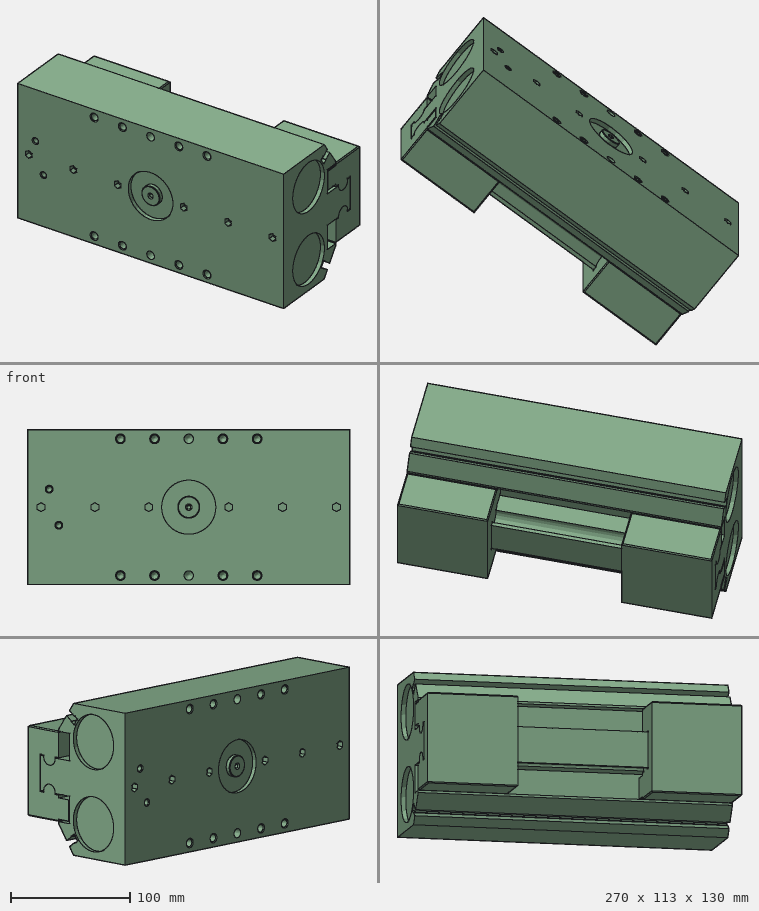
import cadquery as cq
import math


length = 270.0
height = 130.0
total_depth = 113.0
shoulder_y = 60.2
bed_y = 77.5
slope_angle = 54.7

slot_offset = 8.5
slot_mouth_width = 5.7
slot_head_width = 6.8
slot_lip = 7.0
slot_depth = 11.0

channel_half_width = 38.5
channel_floor_y = 65.0
rail_half_width = 15.0
rail_top_y = 98.5
rod_radius = 6.8
rod_y = 88.3
rod_z = 14.8

bore_diameter = 47.0
bore_depth = 4.0
bore_y = 37.0
bore_z = 35.0

mount_hole_diameter = 6.5
mount_mouth_diameter = 8.0
centre_hole_diameter = 7.8
mount_hole_pitch = 28.5
mount_columns_per_side = 2
mount_hole_z = 57.2
mount_hole_depth = 16.2
port_diameter = 4.9
port_mouth_diameter = 6.5
port_depth = 13.5
port_places = [(-117.0, 15.0), (-108.8, -15.0)]
drill_point_angle = 118.0

screw_first_x = 33.5
screw_pitch = 45.0
screws_per_side = 3
socket_flats = 6.5
socket_depth = 5.5

recess_diameter = 45.4
recess_depth = 4.0
boss_diameter = 18.4
boss_chamfer = 0.5
boss_hole_diameter = 3.2
boss_mouth_diameter = 5.5
boss_hole_depth = 8.0

jaw_length = 77.5
jaw_half_height = channel_half_width
jaw_chamfer = 1.0
jaw_clearance = 0.8
leg_outer_z = 37.0
leg_inner_z = 18.4
leg_chamfer = 0.5


def block(x_range, y_range, z_range):
    """Box given by its limits along each axis."""
    (x0, x1), (y0, y1), (z0, z1) = x_range, y_range, z_range
    return cq.Workplane("XY").box(x1 - x0, y1 - y0, z1 - z0, centered=False).translate((x0, y0, z0))


def front_disc(x, z, diameter, depth):
    """Cylinder going into the mounting face."""
    return cq.Workplane("XZ", origin=(x, 0, z)).circle(diameter / 2).extrude(-depth)


def drilled_hole(x, z, diameter, depth, mouth_diameter):
    """Blind hole in the mounting face with a 45-degree mouth and a drill point."""
    radius = diameter / 2
    mouth_radius = mouth_diameter / 2
    mouth_depth = mouth_radius - radius
    tip_depth = depth + radius / math.tan(math.radians(drill_point_angle / 2))
    outline = cq.Workplane("XY").moveTo(0, 0).lineTo(mouth_radius, 0)
    if mouth_depth > 0:
        outline = outline.lineTo(radius, mouth_depth)
    outline = outline.lineTo(radius, depth).lineTo(0, tip_depth).close()
    return outline.revolve(360, (0, 0, 0), (0, 1, 0)).translate((x, 0, z))


def rods(x_start, rod_length):
    """Two round bars along the sides of the rail: the jaw's guide rods or the rail's grooves for them."""
    return (
        cq.Workplane("YZ", origin=(x_start, 0, 0))
        .pushPoints([(rod_y, rod_z), (rod_y, -rod_z)])
        .circle(rod_radius)
        .extrude(rod_length)
    )


def housing_block():
    slope_run = bed_y - shoulder_y
    bed_half_width = height / 2 - slope_run * math.tan(math.radians(slope_angle))
    outline = [
        (0, -height / 2),
        (shoulder_y, -height / 2),
        (bed_y, -bed_half_width),
        (bed_y, bed_half_width),
        (shoulder_y, height / 2),
        (0, height / 2),
    ]
    return cq.Workplane("YZ", origin=(-length / 2, 0, 0)).polyline(outline).close().extrude(length)


def slope_slot(side):
    """T-slot square to the sloped side; side is +1 for the upper slope and -1 for the lower."""
    along = slot_offset + slot_mouth_width / 2
    angle = math.radians(slope_angle)
    mouth_y = shoulder_y + along * math.cos(angle)
    mouth_z = side * (height / 2 - along * math.sin(angle))
    half_length = length / 2
    mouth = block(
        (-half_length, half_length),
        (-slot_mouth_width / 2, slot_mouth_width / 2),
        (-slot_depth, slot_depth),
    )
    head = block(
        (-half_length, half_length),
        (-slot_head_width / 2, slot_head_width / 2),
        (-slot_depth, -slot_lip),
    )
    slot = mouth.union(head)
    if side < 0:
        slot = slot.rotate((0, 0, 0), (1, 0, 0), 180)
    return slot.rotate((0, 0, 0), (1, 0, 0), -side * slope_angle).translate((0, mouth_y, mouth_z))


def guide_rail():
    rail = block(
        (-length / 2, length / 2),
        (channel_floor_y, rail_top_y),
        (-rail_half_width, rail_half_width),
    )
    return rail.cut(rods(-length / 2, length))


def cylinder_bores():
    """Shallow round recesses over the cylinders, two in each end face."""
    ends = cq.Workplane("XY")
    for x_start in (-length / 2, length / 2 - bore_depth):
        ends = ends.add(
            cq.Workplane("YZ", origin=(x_start, 0, 0))
            .pushPoints([(bore_y, bore_z), (bore_y, -bore_z)])
            .circle(bore_diameter / 2)
            .extrude(bore_depth)
        )
    return ends.combine()


def cut_mounting_holes(body):
    """Two rows of chamfered holes, with plain locating holes in the centre column, and two ports."""
    for column in range(-mount_columns_per_side, mount_columns_per_side + 1):
        if column == 0:
            diameter, mouth = centre_hole_diameter, centre_hole_diameter
        else:
            diameter, mouth = mount_hole_diameter, mount_mouth_diameter
        for z in (-mount_hole_z, mount_hole_z):
            body = body.cut(drilled_hole(column * mount_hole_pitch, z, diameter, mount_hole_depth, mouth))
    for x, z in port_places:
        body = body.cut(drilled_hole(x, z, port_diameter, port_depth, port_mouth_diameter))
    return body


def screw_sockets():
    """Hexagonal sockets along the middle of the mounting face, each with a corner up."""
    offsets = [screw_first_x + i * screw_pitch for i in range(screws_per_side)]
    places = [side * x for side in (-1, 1) for x in offsets]
    across_corners = socket_flats / math.cos(math.pi / 6)
    return (
        cq.Workplane("XZ")
        .transformed(rotate=(0, 0, 90))
        .pushPoints([(0, x) for x in places])
        .polygon(6, across_corners)
        .extrude(-socket_depth)
    )


def centre_recess():
    """Ring-shaped recess around a boss that is flush with the mounting face."""
    boss = front_disc(0, 0, boss_diameter, recess_depth).faces("<Y").chamfer(boss_chamfer)
    return front_disc(0, 0, recess_diameter, recess_depth).cut(boss)


def build_housing():
    body = housing_block()
    for side in (-1, 1):
        body = body.cut(slope_slot(side))
    channel = block(
        (-length / 2, length / 2),
        (channel_floor_y, bed_y),
        (-channel_half_width, channel_half_width),
    )
    body = body.cut(channel).union(guide_rail())
    body = body.cut(cylinder_bores())
    body = cut_mounting_holes(body)
    body = body.cut(screw_sockets()).cut(centre_recess())
    return body.cut(drilled_hole(0, 0, boss_hole_diameter, boss_hole_depth, boss_mouth_diameter))


def build_jaw():
    """Jaw at the -X end, with its leg below the rail."""
    x_range = (-length / 2, -length / 2 + jaw_length)
    jaw = block(x_range, (bed_y, total_depth), (-jaw_half_height, jaw_half_height))
    jaw = jaw.faces("<Z or >Z").chamfer(jaw_chamfer)
    leg = block(x_range, (channel_floor_y + jaw_clearance, bed_y), (-leg_outer_z, -leg_inner_z))
    leg = leg.faces("<Z").edges("|Y").chamfer(leg_chamfer)
    rail_slot_half = rail_half_width + jaw_clearance
    rail_slot = block(x_range, (bed_y, rail_top_y + jaw_clearance), (-rail_slot_half, rail_slot_half))
    return jaw.union(leg).cut(rail_slot).union(rods(x_range[0], jaw_length))


housing = build_housing()
first_jaw = build_jaw()

jaws = [first_jaw.rotate((0, 0, 0), (0, 1, 0), turn).val() for turn in (0, 180)]

result = cq.Compound.makeCompound([housing.val(), *jaws])